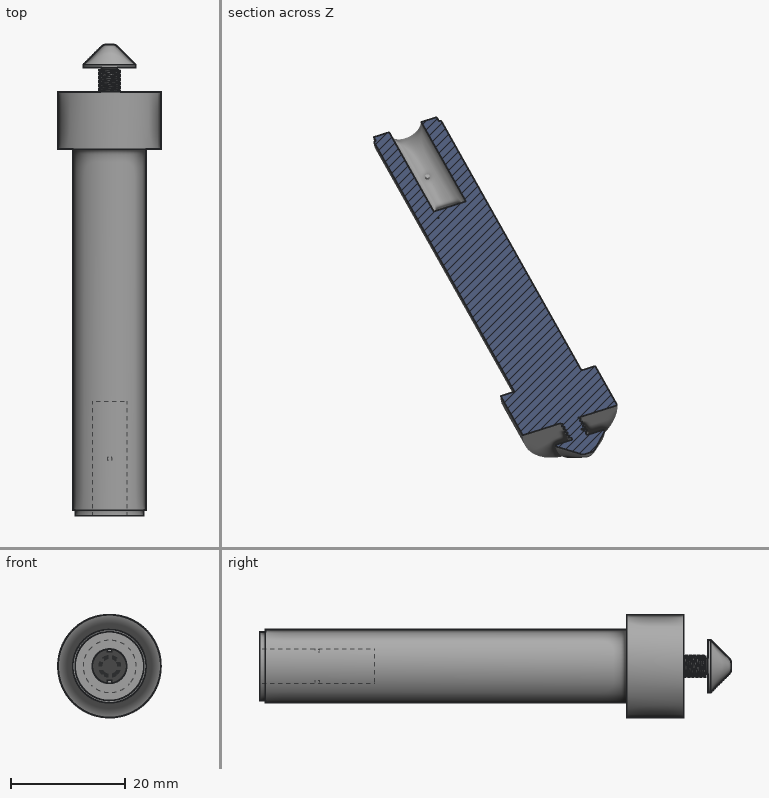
import cadquery as cq
import math

total_length = 82.27
shaft_diameter = 12.8
shaft_length = 64.0
pilot_diameter = 12.0
pilot_length = 1.0
collar_diameter = 18.0
collar_length = 10.0

bore_diameter = 6.0
bore_depth = 20.0

pin_diameter = 0.8
pin_reach = 0.5
pin_depth = 10.0
pin_embed = 0.5

stud_length = 4.2
neck_diameter = 2.8
neck_length = 0.4
thread_diameter = 3.8
thread_root_diameter = 3.1
thread_pitch = 0.7
crest_width = 0.3
root_width = 0.1

head_diameter = 9.2
rim_height = 0.5
cone_half_angle = 45.0
tip_edge_diameter = 2.75

handle_start = -(shaft_length + collar_length)
collar_start = -collar_length
neck_start = stud_length - neck_length
head_start = stud_length
cone_start = head_start + rim_height
cone_height = (head_diameter - tip_edge_diameter) / 2 / math.tan(math.radians(cone_half_angle))
cone_end = cone_start + cone_height
tip_end = handle_start + total_length

tip_round_radius = (tip_end - cone_end) / (1 - math.sin(math.radians(cone_half_angle)))
tip_round_run = tip_round_radius * math.cos(math.radians(cone_half_angle))
tip_flat_radius = tip_edge_diameter / 2 - tip_round_run


def rod(diameter, start, end):
    """Solid cylinder on the Y axis between two Y stations."""
    sketch_plane = cq.Plane(origin=(0, start, 0), xDir=(1, 0, 0), normal=(0, 1, 0))
    return cq.Workplane(sketch_plane).circle(diameter / 2).extrude(end - start)


def make_bore_pin(side):
    """Radial pin that sticks out of the bore wall toward the axis, on the +Z or -Z side."""
    bore_radius = bore_diameter / 2
    return (
        cq.Workplane("XY")
        .workplane(offset=side * (bore_radius - pin_reach))
        .center(0, handle_start + pin_depth)
        .circle(pin_diameter / 2)
        .extrude(side * (pin_reach + pin_embed))
    )


def make_handle():
    pilot_end = handle_start + pilot_length
    pilot = rod(pilot_diameter, handle_start, pilot_end)
    shaft = rod(shaft_diameter, pilot_end, collar_start)
    collar = rod(collar_diameter, collar_start, 0)
    bore = rod(bore_diameter, handle_start, handle_start + bore_depth)
    handle = pilot.union(shaft).union(collar).cut(bore)
    for side in (1, -1):
        handle = handle.union(make_bore_pin(side))
    return handle


def thread_flank(start_radius, end_radius, start_angle, end_angle):
    """Parametric spiral of the thread's cross-section between two radii."""

    def point(t):
        radius = start_radius + (end_radius - start_radius) * t
        angle = start_angle + (end_angle - start_angle) * t
        return (radius * math.cos(angle), radius * math.sin(angle))

    return point


def make_thread():
    """Right-handed trapezoidal thread: its cross-section is twisted once per pitch along Y."""
    crest_radius = thread_diameter / 2
    root_radius = thread_root_diameter / 2
    crest_half_angle = math.pi * crest_width / thread_pitch
    root_half_angle = math.pi * root_width / thread_pitch
    root_start_angle = math.pi - root_half_angle
    root_end_angle = math.pi + root_half_angle
    crest_start = (crest_radius * math.cos(crest_half_angle), -crest_radius * math.sin(crest_half_angle))
    root_end = (root_radius * math.cos(root_end_angle), root_radius * math.sin(root_end_angle))
    falling_flank = thread_flank(crest_radius, root_radius, crest_half_angle, root_start_angle)
    rising_flank = thread_flank(root_radius, crest_radius, root_end_angle, 2 * math.pi - crest_half_angle)
    section_plane = cq.Plane(origin=(0, 0, 0), xDir=(1, 0, 0), normal=(0, 1, 0))
    return (
        cq.Workplane(section_plane)
        .moveTo(*crest_start)
        .threePointArc((crest_radius, 0), falling_flank(0))
        .parametricCurve(falling_flank, makeWire=False)
        .threePointArc((-root_radius, 0), root_end)
        .parametricCurve(rising_flank, makeWire=False)
        .close()
        .twistExtrude(neck_start, 360 * neck_start / thread_pitch)
    )


def make_stud():
    neck = rod(neck_diameter, neck_start, head_start)
    return make_thread().union(neck)


def make_head():
    """Cone with a cylindrical rim and a rounded, flat-ended tip."""
    head_radius = head_diameter / 2
    return (
        cq.Workplane("XY")
        .moveTo(0, head_start)
        .lineTo(head_radius, head_start)
        .lineTo(head_radius, cone_start)
        .lineTo(tip_edge_diameter / 2, cone_end)
        .tangentArcPoint((tip_flat_radius, tip_end), relative=False)
        .lineTo(0, tip_end)
        .close()
        .revolve(360, (0, 0, 0), (0, 1, 0))
    )


result = make_handle().union(make_stud()).union(make_head())